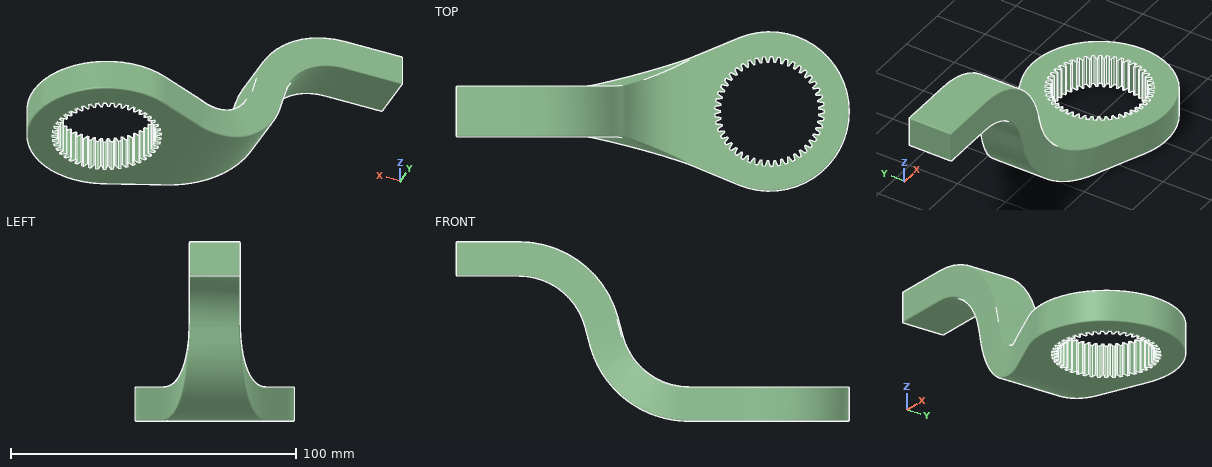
import cadquery as cq
import math

total_length = 138
total_height = 63.0
thickness = 12.1

bar_width = 18
bar_straight = 22.1
bend_radius = 30.0
bend_angle = math.radians(75)
edge_round = 0.5
flare_setback = 0.4

head_radius = 28.0
taper_angle = math.radians(22.5)

tooth_count = 45
tooth_root_radius = 19.2
tooth_tip_radius = 17.2
tooth_root_width = 1.8
tooth_tip_width = 0.5

overlap = 1.4
length_tolerance = 0.01
flare_sections = 9

head_x = total_length - head_radius
head_mid_z = thickness / 2
bar_mid_z = total_height - thickness / 2
bend_run = bend_radius * math.sin(bend_angle)
bend_drop = bend_radius * (1 - math.cos(bend_angle))
slope_drop = bar_mid_z - head_mid_z - 2 * bend_drop
slope_run = slope_drop / math.tan(bend_angle)
slope_length = slope_drop / math.sin(bend_angle)
lower_bend_x = bar_straight + 2 * bend_run + slope_run
lower_bend_z = head_mid_z + bend_radius
tangent_x = head_x - head_radius * math.sin(taper_angle)
tangent_y = head_radius * math.cos(taper_angle)
neck_half_width = tangent_y - (tangent_x - lower_bend_x) * math.tan(taper_angle)
flare_length = bend_radius * bend_angle + slope_length - flare_setback


def upper_bend_point(radius, angle):
    centre_z = bar_mid_z - bend_radius
    return (bar_straight + radius * math.sin(angle), centre_z + radius * math.cos(angle))


def lower_bend_point(radius, angle):
    return (lower_bend_x - radius * math.sin(angle), lower_bend_z - radius * math.cos(angle))


def flare_path(distance):
    """Point and slope angle of the centre line, measured back from the end of the lower bend."""
    bend_length = bend_radius * bend_angle
    if distance <= bend_length:
        angle = distance / bend_radius
        return lower_bend_point(bend_radius, angle), angle
    x, z = lower_bend_point(bend_radius, bend_angle)
    rest = distance - bend_length
    return (x - rest * math.cos(bend_angle), z + rest * math.sin(bend_angle)), bend_angle


def flare_half_width(t):
    """Cubic from the parallel bar (t = 0) to the tapered flanks (t = 1), tangent to both."""
    end_slope = math.tan(taper_angle) * flare_length
    blend = 3 * t**2 - 2 * t**3
    return bar_width / 2 + (neck_half_width - bar_width / 2) * blend + end_slope * (t**3 - t**2)


def make_side_profile():
    """S-shaped side profile, extruded over the full head width."""
    inner = bend_radius - thickness / 2
    outer = bend_radius + thickness / 2
    half = bend_angle / 2
    return (
        cq.Workplane("XZ")
        .moveTo(0, total_height)
        .lineTo(bar_straight, total_height)
        .threePointArc(upper_bend_point(outer, half), upper_bend_point(outer, bend_angle))
        .lineTo(*lower_bend_point(inner, bend_angle))
        .threePointArc(lower_bend_point(inner, half), lower_bend_point(inner, 0))
        .lineTo(total_length, thickness)
        .lineTo(total_length, 0)
        .lineTo(lower_bend_x, 0)
        .threePointArc(lower_bend_point(outer, half), lower_bend_point(outer, bend_angle))
        .lineTo(*upper_bend_point(inner, bend_angle))
        .threePointArc(upper_bend_point(inner, half), upper_bend_point(inner, 0))
        .lineTo(0, total_height - thickness)
        .close()
        .extrude(head_radius, both=True)
    )


def make_bar_envelope():
    """Block of bar width, ending square to the slope where the flare starts."""
    (x, z), angle = flare_path(flare_length)
    dx = thickness * math.sin(angle)
    dz = thickness * math.cos(angle)
    return (
        cq.Workplane("XZ")
        .moveTo(0, z - dz)
        .lineTo(x - dx, z - dz)
        .lineTo(x + dx, z + dz)
        .lineTo(x + dx, total_height)
        .lineTo(0, total_height)
        .close()
        .extrude(bar_width / 2, both=True)
    )


def make_flare_envelope():
    """Loft through sections square to the centre line, each as wide as the flare there."""
    sections = []
    for i in range(flare_sections):
        t = i / (flare_sections - 1)
        (x, z), angle = flare_path(flare_length * (1 - t))
        plane = cq.Plane(
            origin=(x, 0, z),
            xDir=(0, 1, 0),
            normal=(math.cos(angle), 0, -math.sin(angle)),
        )
        section = cq.Workplane(plane).rect(2 * flare_half_width(t), thickness + 2 * overlap)
        sections.append(section.val())
    return cq.Workplane(cq.Solid.makeLoft(sections))


def make_head_envelope():
    """Ring outline with straight flanks tangent to it."""
    return (
        cq.Workplane("XY")
        .moveTo(lower_bend_x, -neck_half_width)
        .lineTo(tangent_x, -tangent_y)
        .threePointArc((total_length, 0), (tangent_x, tangent_y))
        .lineTo(lower_bend_x, neck_half_width)
        .close()
        .extrude(thickness)
    )


def make_spline_hole():
    """Round hole with teeth left standing around its wall."""
    hole = cq.Workplane("XY").center(head_x, 0).circle(tooth_root_radius).extrude(thickness)
    tooth = (
        cq.Workplane("XY")
        .polyline([
            (-tooth_root_radius - overlap, -tooth_root_width / 2),
            (-tooth_root_radius, -tooth_root_width / 2),
            (-tooth_tip_radius, -tooth_tip_width / 2),
            (-tooth_tip_radius, tooth_tip_width / 2),
            (-tooth_root_radius, tooth_root_width / 2),
            (-tooth_root_radius - overlap, tooth_root_width / 2),
        ])
        .close()
        .extrude(thickness)
    )
    teeth = [
        tooth.rotate((0, 0, 0), (0, 0, 1), i * 360 / tooth_count).translate((head_x, 0, 0)).val()
        for i in range(tooth_count)
    ]
    return hole.cut(cq.Workplane(cq.Compound.makeCompound(teeth)))


def is_cross_seam(edge):
    """True for an edge that spans the width or the thickness instead of running along the part."""
    across = edge.endPoint() - edge.startPoint()
    spans_width = edge.geomType() == "LINE" and abs(across.y) > bar_width - length_tolerance
    spans_thickness = abs(edge.Length() - thickness) < length_tolerance
    return spans_width or spans_thickness


profile = make_side_profile()
bar = profile.intersect(make_bar_envelope())
flare = profile.intersect(make_flare_envelope())
head = make_head_envelope()
body = bar.union(flare).union(head)

bar_end_edges = body.faces("<X").edges().vals()
long_edges = [edge for edge in body.edges().vals() if not is_cross_seam(edge)]
body = body.newObject(bar_end_edges + long_edges).fillet(edge_round)
result = body.cut(make_spline_hole())